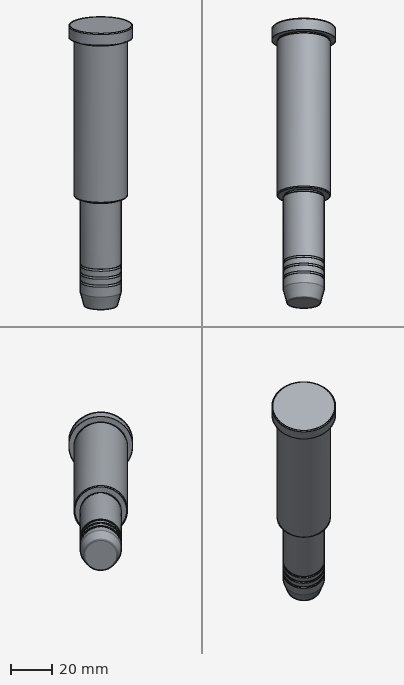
import cadquery as cq
import math

TOTAL_LENGTH = 141.0
HEAD_HEIGHT = 6.0
SHOULDER_Z = 55.0
NOSE_LENGTH = 7.0

HEAD_DIAMETER = 31.0
BODY_DIAMETER = 26.0
PILOT_DIAMETER = 20.0

NOSE_ANGLE = 15.0
NOSE_TIP_FILLET = 0.5

HEAD_CHAMFER = 0.5
BODY_CHAMFER = 0.5

RELIEF_WIDTH = 1.0
RELIEF_DEPTH = 0.5
HEAD_RELIEF_RUNOUT = 0.4

GROOVE_COUNT = 3
GROOVE_PITCH = 4.0
GROOVE_RADIUS = 0.5
LOWEST_GROOVE_Z = 12.5


def cylinder(diameter, bottom_z, top_z):
    """Solid cylinder on the Z axis between two heights."""
    return cq.Workplane("XY").workplane(offset=bottom_z).circle(diameter / 2).extrude(top_z - bottom_z)


def make_head():
    head = cylinder(HEAD_DIAMETER, TOTAL_LENGTH - HEAD_HEIGHT, TOTAL_LENGTH)
    return head.faces(">Z").edges().chamfer(HEAD_CHAMFER)


def make_body():
    body = cylinder(BODY_DIAMETER, SHOULDER_Z, TOTAL_LENGTH - HEAD_HEIGHT)
    return body.faces("<Z").edges().chamfer(BODY_CHAMFER)


def make_pilot():
    """Pilot shank with its conical nose and rounded tip edge."""
    pilot_radius = PILOT_DIAMETER / 2
    tip_radius = pilot_radius - NOSE_LENGTH * math.tan(math.radians(NOSE_ANGLE))
    pilot = (
        cq.Workplane("XZ")
        .moveTo(0, 0)
        .lineTo(tip_radius, 0)
        .lineTo(pilot_radius, NOSE_LENGTH)
        .lineTo(pilot_radius, SHOULDER_Z)
        .lineTo(0, SHOULDER_Z)
        .close()
        .revolve(360, (0, 0, 0), (0, 1, 0))
    )
    return pilot.faces("<Z").edges().fillet(NOSE_TIP_FILLET)


def relief_cutter(diameter, top_z, runout=0.0):
    """Ring that cuts an undercut directly below top_z; runout is the height of its conical lower end."""
    outer_radius = diameter / 2
    floor_radius = outer_radius - RELIEF_DEPTH
    bottom_z = top_z - RELIEF_WIDTH
    return (
        cq.Workplane("XZ")
        .moveTo(floor_radius, top_z)
        .lineTo(outer_radius, top_z)
        .lineTo(outer_radius, bottom_z)
        .lineTo(floor_radius, bottom_z + runout)
        .close()
        .revolve(360, (0, 0, 0), (0, 1, 0))
    )


def groove_cutter(center_z):
    """Torus that cuts one lubrication groove into the pilot."""
    center = cq.Vector(0, 0, center_z)
    axis = cq.Vector(0, 0, 1)
    return cq.Workplane(cq.Solid.makeTorus(PILOT_DIAMETER / 2, GROOVE_RADIUS, center, axis))


result = make_head().union(make_body()).union(make_pilot())
result = result.cut(relief_cutter(BODY_DIAMETER, TOTAL_LENGTH - HEAD_HEIGHT, HEAD_RELIEF_RUNOUT))
result = result.cut(relief_cutter(PILOT_DIAMETER, SHOULDER_Z))
for groove_index in range(GROOVE_COUNT):
    result = result.cut(groove_cutter(LOWEST_GROOVE_Z + groove_index * GROOVE_PITCH))